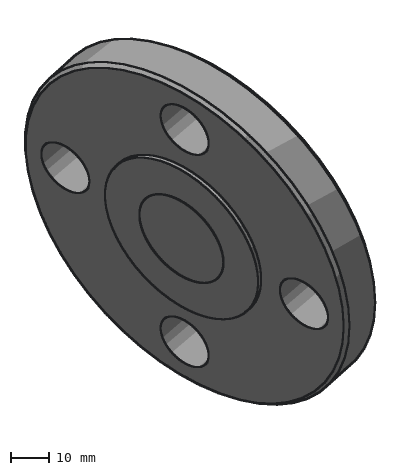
import cadquery as cq

flange_diameter = 108.0
flange_thickness = 13.0
rim_chamfer = 1.1

raised_face_diameter = 51.0
raised_face_height = 1.3
center_pad_diameter = 28.0
center_pad_height = 0.1

bolt_circle_diameter = 79.4
bolt_hole_diameter = 16.0
bolt_hole_count = 4

overall_thickness = flange_thickness + raised_face_height + center_pad_height


def make_flange():
    """Disc from the back face at Y = 0 to -Y, chamfered on both rims."""
    disc = cq.Workplane("XZ").circle(flange_diameter / 2).extrude(flange_thickness)
    return disc.faces("<Y or >Y").edges().chamfer(rim_chamfer)


def make_step(diameter, start, height):
    """Round step standing on the face that lies `start` in front of the back."""
    return cq.Workplane("XZ", origin=(0, -start, 0)).circle(diameter / 2).extrude(height)


def make_bolt_holes():
    """Through holes evenly spaced on the bolt circle."""
    return (
        cq.Workplane("XZ")
        .polarArray(bolt_circle_diameter / 2, 0, 360, bolt_hole_count)
        .circle(bolt_hole_diameter / 2)
        .extrude(overall_thickness)
    )


raised_face = make_step(raised_face_diameter, flange_thickness, raised_face_height)
center_pad = make_step(
    center_pad_diameter, flange_thickness + raised_face_height, center_pad_height
)

result = make_flange().union(raised_face).union(center_pad).cut(make_bolt_holes())